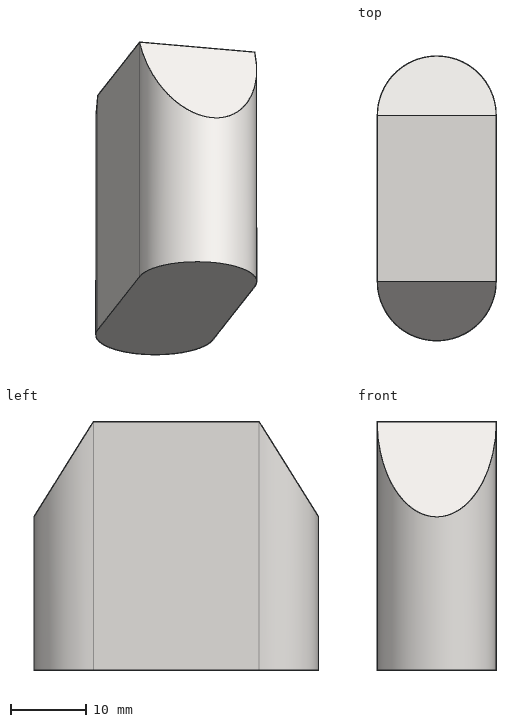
import cadquery as cq
import math

width = 15.8
flat_length = 22.0
height = 33.0
slope_angle = 58.0

end_radius = width / 2
half_flat = flat_length / 2
length = flat_length + width
half_length = length / 2
bevel_drop = end_radius * math.tan(math.radians(slope_angle))
shoulder_height = height - bevel_drop


def rounded_block():
    """Upright block with a full round at each Y end, standing on Z = 0."""
    return cq.Workplane("XY").slot2D(length, width, angle=90).extrude(height)


def roof_envelope():
    """Side outline that slopes down from the flat top to both ends, swept across X."""
    outline = [
        (-half_length, 0),
        (half_length, 0),
        (half_length, shoulder_height),
        (half_flat, height),
        (-half_flat, height),
        (-half_length, shoulder_height),
    ]
    return cq.Workplane("YZ").polyline(outline).close().extrude(end_radius, both=True)


result = rounded_block().intersect(roof_envelope())